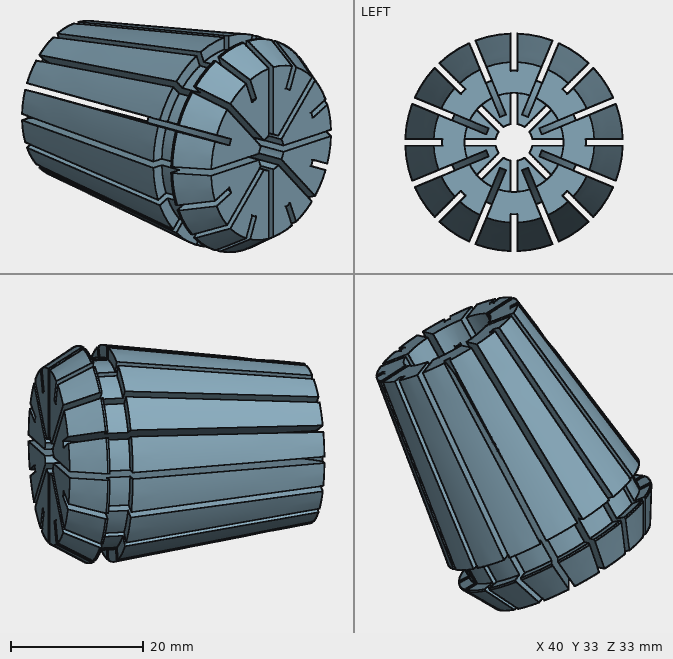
import cadquery as cq
import math

length = 40.0
max_diameter = 33.0
max_radius = max_diameter / 2

taper_end = 30.9
groove_end = 34.5
rim_end = 34.8
groove_radius = 14.6
taper_angle = 8.0
nose_angle = 30.0
narrow_radius = max_radius - taper_end * math.tan(math.radians(taper_angle))
nose_radius = max_radius - (length - rim_end) * math.tan(math.radians(nose_angle))

wide_bore_diameter = 15.0
wide_bore_radius = wide_bore_diameter / 2
wide_bore_depth = 18.4
small_bore_radius = 2.8

slots_per_set = 8
slot_pitch = 360.0 / slots_per_set
slot_width = 1.0
slot_clearance = 0.8
slot_top = max_radius + slot_clearance

bridge_length = 3.45
bridge_floor_radius = 10.9
bridge_saw_radius = 24.0

deepest_x = length / 2
deepest_radius = 4.3
nose_floor_radius = 9.95


def make_body():
    outline = [
        (0, wide_bore_radius),
        (0, narrow_radius),
        (taper_end, max_radius),
        (taper_end, groove_radius),
        (groove_end, groove_radius),
        (groove_end, max_radius),
        (rim_end, max_radius),
        (length, nose_radius),
        (length, small_bore_radius),
        (wide_bore_depth, small_bore_radius),
        (wide_bore_depth, wide_bore_radius),
    ]
    return cq.Workplane("XY").polyline(outline).close().revolve(360, (0, 0, 0), (1, 0, 0))


def nose_slot():
    """Cutter for a slot open at the nose, with a concave run-out in the narrow end."""
    run = bridge_length
    drop = bridge_floor_radius - wide_bore_radius
    chord = math.hypot(run, drop)
    sagitta = bridge_saw_radius - math.sqrt(bridge_saw_radius**2 - (chord / 2) ** 2)
    run_out_middle = (
        run / 2 - sagitta * drop / chord,
        (bridge_floor_radius + wide_bore_radius) / 2 - sagitta * run / chord,
    )
    return (
        cq.Workplane("XY")
        .moveTo(0, bridge_floor_radius)
        .threePointArc(run_out_middle, (bridge_length, wide_bore_radius))
        .lineTo(bridge_length, 0)
        .lineTo(length, 0)
        .lineTo(length, slot_top)
        .lineTo(0, slot_top)
        .close()
        .extrude(slot_width / 2, both=True)
    )


def narrow_end_slot():
    """Cutter for a slot open at the narrow end, with an arc floor from the bore step to the nose."""
    run = length - deepest_x
    rise = nose_floor_radius - deepest_radius
    saw_radius = (run**2 + rise**2) / (2 * rise)
    step_offset = deepest_x - wide_bore_depth
    step_floor_radius = deepest_radius + saw_radius - math.sqrt(saw_radius**2 - step_offset**2)
    return (
        cq.Workplane("XY")
        .moveTo(0, step_floor_radius)
        .lineTo(wide_bore_depth, step_floor_radius)
        .threePointArc((deepest_x, deepest_radius), (length, nose_floor_radius))
        .lineTo(length, slot_top)
        .lineTo(0, slot_top)
        .close()
        .extrude(slot_width / 2, both=True)
    )


def cut_all_around(body, cutter, first_angle):
    for i in range(slots_per_set):
        angle = first_angle + i * slot_pitch
        body = body.cut(cutter.rotate((0, 0, 0), (1, 0, 0), angle))
    return body


result = make_body()
result = cut_all_around(result, nose_slot(), 0)
result = cut_all_around(result, narrow_end_slot(), slot_pitch / 2)